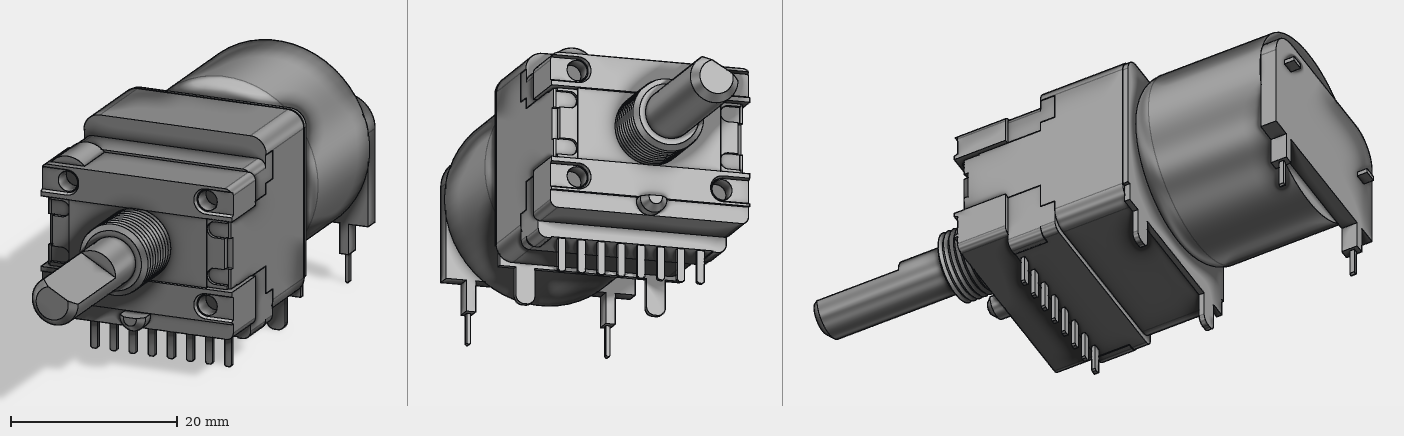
import cadquery as cq
import math


OVERALL_LENGTH = 69.9

SHAFT_RADIUS = 3.0
SHAFT_TIP_Y = -24.9
SHAFT_CHAMFER = 0.9
FLAT_START_Y = -12.85
FLAT_DISTANCE = SHAFT_RADIUS / 2
FLAT_TILT = 30

THREAD_RADIUS = 4.5
THREAD_DEPTH = 0.4
THREAD_LENGTH = 7.5
THREAD_RIDGES = 10
THREAD_PITCH = THREAD_LENGTH / THREAD_RIDGES
BUSHING_TIP_RADIUS = 3.8
BUSHING_LENGTH = 7.0

FACE_RECESS = 0.455
COVER_REAR_Y = 7.0
FRAME_REAR_Y = 11.45
TAB_REAR_Y = 13.4
HOUSING_REAR_Y = 22.7
PLATE_REAR_Y = 23.4
MOTOR_REAR_Y = 41.6
CAP_REAR_Y = 43.7
LUG_REAR_Y = SHAFT_TIP_Y + OVERALL_LENGTH

COVER_HALF_WIDTH = 12.5
COVER_TOP = 8.5
COVER_BOTTOM = -10.6
COVER_ROUND = 0.9
UPPER_BAND_BOTTOM = 4.4
LOWER_BAND_TOP = -4.5
LOWER_BAND_BOTTOM = -8.5
FACE_HALF_WIDTH = 9.0

RIVET_X = 9.15
RIVET_UPPER_Z = 6.6
RIVET_LOWER_Z = -6.65
POCKET_RADIUS = 1.6
POCKET_FLOOR_RADIUS = 1.4
RIVET_HOLE_RADIUS = 1.25
RIVET_HOLE_DEPTH = 2.8

BULGE_X = -9.45
BULGE_RADIUS = 2.95
BULGE_FRONT_Y = 1.05

NUB_RADIUS = 1.7
NUB_TOP = -8.75
NUB_TIP_Y = -1.9
NUB_CHAMFER = 0.85

HOUSING_HALF_WIDTH = 11.95
HOUSING_TOP = 11.5
HOUSING_BOTTOM = -11.5
HOUSING_ROUND = 2.1
ARM_TOP = 4.5
ARM_BOTTOM = -4.6
ARM_NECK_Y = 3.0
ARM_NECK_STEP = 0.2
ARM_FRONT_Y = 0.6
ARM_EDGE_Y = 1.05
ARM_EDGE_WIDTH = 0.35
ARM_NOTCH_WIDTH = 0.7
ARM_NOTCH_HALF_HEIGHT = 1.95
ARM_NOTCH_FLOOR_Y = 1.6
ARM_SLOT_FLOOR_Y = 1.1
ARM_SLOT_HEIGHT = 2.0
ARM_SLOT_Z = (2.95, -2.95)
FRAME_INSET = 0.1
FRAME_TOP = 8.8
FRAME_BOTTOM = -12.6
FRAME_ROUND = 1.05
FOOT_RELIEF = 0.15
FOOT_RELIEF_HALF_WIDTH = 10.2
TAB_TOP = 9.4
TAB_UPPER_BOTTOM = 5.8
TAB_LOWER_TOP = -8.1
TAB_BOTTOM = FRAME_BOTTOM + FOOT_RELIEF

PIN_BOTTOM = -16.5

PLATE_INSET = 0.1
PLATE_FOOT_HALF_WIDTH = 11.45
PLATE_FOOT_TOP = HOUSING_BOTTOM + HOUSING_ROUND
PLATE_BOTTOM = -12.0
LEG_X = 8.25
LEG_WIDTH = 2.4
LEG_ROUND = 1.0

PIN_COUNT = 8
PIN_ROW_LENGTH = 17.55
PIN_SPACING = PIN_ROW_LENGTH / (PIN_COUNT - 1)
PIN_WIDTH = 0.9
PIN_TIP = 0.2
PIN_FRONT_Y = 7.35
PIN_THICKNESS = 0.5

MOTOR_Z = 1.05
MOTOR_RADIUS = 12.15
MOTOR_ROUND = 2.95
CAP_TOP = 7.05
CAP_BOTTOM = -8.75
CAP_ROUND = 4.0
CAP_FOOT_X = 8.8
CAP_FOOT_WIDTH = 1.2
CAP_PIN_WIDTH = 0.5
CAP_PIN_FRONT_Y = 42.5
CAP_PIN_THICKNESS = 0.6
LUG_X = 9.1
LUG_WIDTH = 1.6
LUG_THICKNESS = 0.6
LUG_OFFSET = 1.7

EDGE_OVERLAP = 0.7


def block(x_span, y_span, z_span):
    """Box between the given limits along each axis."""
    spans = (x_span, y_span, z_span)
    sizes = [high - low for low, high in spans]
    corner = tuple(low for low, high in spans)
    return cq.Workplane("XY").box(*sizes, centered=False).translate(corner)


def wide_block(half_width, y_span, z_span):
    """Box centred on X = 0."""
    return block((-half_width, half_width), y_span, z_span)


def cylinder_y(x, z, radius, y_span):
    """Cylinder parallel to Y."""
    front, rear = y_span
    return cq.Workplane("XZ", origin=(x, front, z)).circle(radius).extrude(front - rear)


def both_sides(solid):
    return solid.union(solid.mirror("YZ"))


def make_shaft():
    shaft = cylinder_y(0, 0, SHAFT_RADIUS, (SHAFT_TIP_Y, COVER_REAR_Y))
    shaft = shaft.faces("<Y").chamfer(SHAFT_CHAMFER)
    flat_cut = wide_block(
        2 * SHAFT_RADIUS,
        (SHAFT_TIP_Y - EDGE_OVERLAP, FLAT_START_Y),
        (FLAT_DISTANCE, 2 * SHAFT_RADIUS),
    )
    return shaft.cut(flat_cut.rotate((0, 0, 0), (0, 1, 0), FLAT_TILT))


def make_bushing():
    root = THREAD_RADIUS - THREAD_DEPTH
    profile = cq.Workplane("XY").moveTo(0, -BUSHING_LENGTH)
    profile = profile.lineTo(BUSHING_TIP_RADIUS, -BUSHING_LENGTH)
    for ridge in range(THREAD_RIDGES):
        start = -BUSHING_LENGTH + ridge * THREAD_PITCH
        profile = profile.lineTo(THREAD_RADIUS, start + THREAD_PITCH / 2)
        profile = profile.lineTo(root, start + THREAD_PITCH)
    profile = profile.lineTo(root, COVER_REAR_Y).lineTo(0, COVER_REAR_Y).close()
    return profile.revolve(360, (0, 0, 0), (0, 1, 0))


def make_pocket(z):
    """Round-ended pocket with sloped walls, open to the side of the cover."""
    slope = math.degrees(math.atan2(POCKET_RADIUS - POCKET_FLOOR_RADIUS, FACE_RECESS))
    straight_length = 2 * (COVER_HALF_WIDTH - RIVET_X)
    return (
        cq.Workplane("XZ")
        .center(COVER_HALF_WIDTH, z)
        .slot2D(straight_length + 2 * POCKET_RADIUS, 2 * POCKET_RADIUS)
        .extrude(-FACE_RECESS, taper=slope)
    )


def make_cover():
    cover = wide_block(COVER_HALF_WIDTH, (0, COVER_REAR_Y), (COVER_BOTTOM, COVER_TOP))
    cover = cover.edges("|Y").fillet(COVER_ROUND)
    bulge = cylinder_y(BULGE_X, RIVET_UPPER_Z, BULGE_RADIUS, (BULGE_FRONT_Y, COVER_REAR_Y))
    bulge_limit = wide_block(COVER_HALF_WIDTH, (0, COVER_REAR_Y), (RIVET_UPPER_Z, HOUSING_TOP))
    cover = cover.union(bulge.intersect(bulge_limit))

    recess_span = (0, FACE_RECESS)
    cover = cover.cut(wide_block(COVER_HALF_WIDTH, recess_span, (LOWER_BAND_TOP, UPPER_BAND_BOTTOM)))
    cover = cover.cut(wide_block(COVER_HALF_WIDTH, recess_span, (COVER_BOTTOM, LOWER_BAND_BOTTOM)))
    arm_gap = block(
        (FACE_HALF_WIDTH, COVER_HALF_WIDTH), (0, COVER_REAR_Y), (LOWER_BAND_TOP, UPPER_BAND_BOTTOM)
    )
    cover = cover.cut(both_sides(arm_gap))

    for z in (RIVET_UPPER_Z, RIVET_LOWER_Z):
        pocket = make_pocket(z)
        hole = cylinder_y(RIVET_X, z, RIVET_HOLE_RADIUS, (0, RIVET_HOLE_DEPTH))
        cover = cover.cut(both_sides(pocket.union(hole)))
    return cover


def make_nub():
    """Round peg under the lower band, cut flat on top."""
    nub = cylinder_y(0, COVER_BOTTOM + NUB_RADIUS, NUB_RADIUS, (NUB_TIP_Y, COVER_REAR_Y))
    nub = nub.faces("<Y").chamfer(NUB_CHAMFER)
    below_band = wide_block(NUB_RADIUS, (NUB_TIP_Y, COVER_REAR_Y), (COVER_BOTTOM, NUB_TOP))
    return nub.intersect(below_band)


def make_arm():
    """Side arm of the housing that reaches forward between the cover bands."""
    x_span = (FACE_HALF_WIDTH, HOUSING_HALF_WIDTH)
    arm = block(x_span, (ARM_NECK_Y, FRAME_REAR_Y), (ARM_BOTTOM, ARM_TOP))
    neck_span = (ARM_BOTTOM + ARM_NECK_STEP, ARM_TOP - ARM_NECK_STEP)
    arm = arm.union(block(x_span, (ARM_FRONT_Y, ARM_NECK_Y), neck_span))
    edge_x = HOUSING_HALF_WIDTH - ARM_EDGE_WIDTH
    arm = arm.cut(block((edge_x, HOUSING_HALF_WIDTH), (ARM_FRONT_Y, ARM_EDGE_Y), neck_span))

    notch = block(
        (HOUSING_HALF_WIDTH - ARM_NOTCH_WIDTH, HOUSING_HALF_WIDTH),
        (ARM_FRONT_Y, ARM_NOTCH_FLOOR_Y),
        (-ARM_NOTCH_HALF_HEIGHT, ARM_NOTCH_HALF_HEIGHT),
    )
    arm = arm.cut(notch)

    slots = (
        cq.Workplane("XZ")
        .pushPoints([(edge_x, z) for z in ARM_SLOT_Z])
        .slot2D(2 * (edge_x - FACE_HALF_WIDTH), ARM_SLOT_HEIGHT)
        .extrude(-ARM_SLOT_FLOOR_Y)
    )
    slots = slots.intersect(block((0, edge_x), (0, ARM_SLOT_FLOOR_Y), (ARM_BOTTOM, ARM_TOP)))
    return arm.cut(slots)


def make_housing():
    housing = wide_block(
        HOUSING_HALF_WIDTH, (FRAME_REAR_Y, HOUSING_REAR_Y), (HOUSING_BOTTOM, HOUSING_TOP)
    )
    housing = housing.edges("|Y").fillet(HOUSING_ROUND)
    tab_seats = block(
        (HOUSING_HALF_WIDTH - FRAME_INSET, HOUSING_HALF_WIDTH),
        (FRAME_REAR_Y, TAB_REAR_Y),
        (TAB_UPPER_BOTTOM, TAB_TOP),
    )
    housing = housing.cut(both_sides(tab_seats))
    lower_seat = wide_block(
        HOUSING_HALF_WIDTH, (FRAME_REAR_Y, TAB_REAR_Y), (HOUSING_BOTTOM, TAB_LOWER_TOP)
    )
    return housing.cut(lower_seat).union(both_sides(make_arm()))


def make_frame():
    half_width = HOUSING_HALF_WIDTH - FRAME_INSET
    frame = wide_block(half_width, (COVER_REAR_Y, FRAME_REAR_Y), (FRAME_BOTTOM, FRAME_TOP))
    frame = frame.edges("|Y").fillet(FRAME_ROUND)
    tab = wide_block(half_width, (FRAME_REAR_Y, TAB_REAR_Y), (TAB_BOTTOM, TAB_LOWER_TOP))
    tab = tab.edges("|Y and <Z").fillet(FRAME_ROUND)
    relief = wide_block(
        FOOT_RELIEF_HALF_WIDTH, (COVER_REAR_Y, FRAME_REAR_Y), (FRAME_BOTTOM, TAB_BOTTOM)
    )
    return frame.union(tab).cut(relief)


def make_rear_plate():
    y_span = (HOUSING_REAR_Y, PLATE_REAR_Y)
    plate = wide_block(
        HOUSING_HALF_WIDTH - PLATE_INSET, y_span, (PLATE_BOTTOM, HOUSING_TOP - PLATE_INSET)
    )
    plate = plate.edges("|Y and >Z").fillet(HOUSING_ROUND)
    foot_corner = block(
        (PLATE_FOOT_HALF_WIDTH, HOUSING_HALF_WIDTH), y_span, (PLATE_BOTTOM, PLATE_FOOT_TOP)
    )
    plate = plate.cut(both_sides(foot_corner))
    leg = block(
        (LEG_X - LEG_WIDTH / 2, LEG_X + LEG_WIDTH / 2), y_span, (PIN_BOTTOM, PLATE_BOTTOM)
    )
    leg = leg.edges("|Y and <Z").fillet(LEG_ROUND)
    return plate.union(both_sides(leg))


def make_pin(x, width, y_front, thickness, bottom, top):
    """Flat terminal pin with a chamfered tip."""
    pin = block(
        (x - width / 2, x + width / 2), (y_front, y_front + thickness), (bottom, top)
    )
    return pin.edges("|Y and <Z").chamfer(PIN_TIP)


def make_pin_row():
    row = cq.Workplane("XY")
    for index in range(PIN_COUNT):
        x = index * PIN_SPACING - PIN_ROW_LENGTH / 2
        row = row.add(
            make_pin(x, PIN_WIDTH, PIN_FRONT_Y, PIN_THICKNESS, PIN_BOTTOM, COVER_BOTTOM)
        )
    return row.combine()


def make_motor():
    can = cylinder_y(0, MOTOR_Z, MOTOR_RADIUS, (PLATE_REAR_Y, MOTOR_REAR_Y))
    return can.faces("<Y").edges().fillet(MOTOR_ROUND)


def make_end_cap():
    y_span = (MOTOR_REAR_Y, CAP_REAR_Y)
    cap = wide_block(HOUSING_HALF_WIDTH, y_span, (CAP_BOTTOM, CAP_TOP))
    cap = cap.edges("|Y and >Z").fillet(CAP_ROUND)
    foot = block(
        (CAP_FOOT_X - CAP_FOOT_WIDTH / 2, CAP_FOOT_X + CAP_FOOT_WIDTH / 2),
        y_span,
        (FRAME_BOTTOM, CAP_BOTTOM),
    )
    pin = make_pin(
        CAP_FOOT_X, CAP_PIN_WIDTH, CAP_PIN_FRONT_Y, CAP_PIN_THICKNESS, PIN_BOTTOM, CAP_BOTTOM
    )
    cap = cap.union(both_sides(foot.union(pin)))

    for side in (-1, 1):
        x = side * LUG_X
        z = MOTOR_Z + side * LUG_OFFSET
        lug = block(
            (x - LUG_WIDTH / 2, x + LUG_WIDTH / 2),
            (CAP_REAR_Y, LUG_REAR_Y),
            (z - LUG_THICKNESS / 2, z + LUG_THICKNESS / 2),
        )
        cap = cap.union(lug)
    return cap


result = (
    make_housing()
    .union(make_frame())
    .union(make_cover())
    .union(make_nub())
    .union(make_rear_plate())
    .union(make_pin_row())
    .union(make_motor())
    .union(make_end_cap())
    .union(make_bushing())
    .union(make_shaft())
)